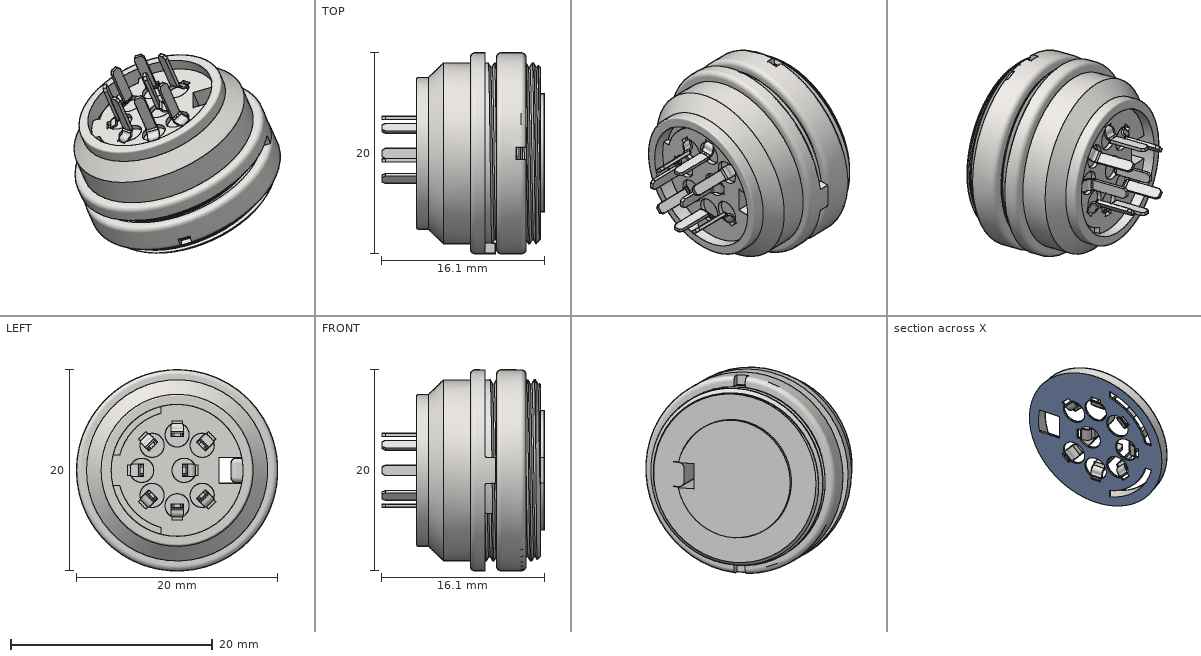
import cadquery as cq
import math


RIM_DIAMETER = 15.1
RIM_END = 1.2
RIM_ROUND = 0.2
BODY_DIAMETER = 18.0
CONE_END = 2.7
FLANGE_START = 5.35
FLANGE_END = 6.83
FLANGE_DIAMETER = 20.0
EDGE_ROUND = 0.5
HOUSING_END = 12.33
END_CHAMFER = 0.47
KEY_EMBED = 0.5

FLANGE_KEY_END = 7.85
FLANGE_KEY_WIDTH = 2.6
FLANGE_KEY_ROUND = 0.15

THREAD_PITCH = 0.75
THREAD_DEPTH = 0.4
THREAD_ROOT_WIDTH = 0.16
THREAD_FLANK_ANGLE = 30.0
THREAD_START = 7.13
THREAD_START_DROP = 4.3

NUT_START = 7.95
NUT_END = 10.9
NUT_SLOT_WIDTH = 1.2
NUT_SLOT_LENGTH = 1.0

BORE_DIAMETER = 13.1
INSERT_FACE = 1.12
INSERT_END = 12.7
INSERT_NOSE_DIAMETER = 11.9
RELIEF_INNER_DIAMETER = 11.8
RELIEF_DEPTH = 0.6
TONGUE_WIDTH = 3.0
RELIEF_EDGE_Y = 1.6

KEYWAY_INNER_Y = -4.17
KEYWAY_WIDTH = 2.54
BORE_KEY_TOP_Y = -5.35
BORE_KEY_WIDTH = 2.44
BORE_KEY_START = 5.0
BORE_KEY_ROUND = 0.5

CONTACT_CIRCLE_RADIUS = 3.52
CONTACT_ANGLES = (0, 45, 90, 135, 225, 270, 315)
KEYWAY_ANGLE = 180
CENTRE_CONTACT_OFFSET = 0.69
CAVITY_DIAMETER = 2.4
CAVITY_DEPTH = 0.45
CAVITY_SLOT_WIDTH = 1.03
CAVITY_SLOT_REACH = 1.4
PIN_TIP = -3.43
PIN_WIDTH = 1.06
PIN_THICKNESS = 0.34
PIN_TIP_LENGTH = 0.34
PIN_TIP_BEVEL = 0.22
TAB_WIDTH = 1.24
TAB_THICKNESS = 0.18
TAB_START = 0.5
TAB_JOG = 0.16
INNER_BEND_RADIUS = 0.31
OUTER_BEND_RADIUS = 0.48
LEG_ANCHOR = 0.3

BODY_RADIUS = BODY_DIAMETER / 2
FLANGE_RADIUS = FLANGE_DIAMETER / 2
BORE_RADIUS = BORE_DIAMETER / 2


def cylinder(start, end, diameter):
    return cq.Workplane("YZ", origin=(start, 0, 0)).circle(diameter / 2).extrude(end - start)


def block(x_range, y_range, width):
    """Box between two X and two Y values, centred on Z = 0."""
    x0, x1 = x_range
    y0, y1 = y_range
    return cq.Workplane("XY", origin=(x0, y0, -width / 2)).box(x1 - x0, y1 - y0, width, centered=False)


def make_housing():
    """Rear of the housing up to the flange, turned about X and still solid."""
    rim_radius = RIM_DIAMETER / 2
    outline = (
        cq.Workplane("XY")
        .moveTo(0, 0)
        .lineTo(0, rim_radius - RIM_ROUND)
        .radiusArc((RIM_ROUND, rim_radius), RIM_ROUND)
        .lineTo(RIM_END, rim_radius)
        .lineTo(CONE_END, BODY_RADIUS)
        .lineTo(FLANGE_START, BODY_RADIUS)
        .lineTo(FLANGE_START, FLANGE_RADIUS - EDGE_ROUND)
        .radiusArc((FLANGE_START + EDGE_ROUND, FLANGE_RADIUS), EDGE_ROUND)
        .lineTo(FLANGE_END, FLANGE_RADIUS)
        .lineTo(FLANGE_END, 0)
        .close()
    )
    return outline.revolve(360, (0, 0, 0), (1, 0, 0))


def make_thread_groove():
    """Helical trapezoid groove, made about Z and then turned onto X."""
    clearance = 0.2
    flank_slope = math.tan(math.radians(THREAD_FLANK_ANGLE))
    root_half = THREAD_ROOT_WIDTH / 2
    mouth_half = root_half + (THREAD_DEPTH + clearance) * flank_slope
    root_radius = BODY_RADIUS - THREAD_DEPTH
    mouth_radius = BODY_RADIUS + clearance
    length = HOUSING_END + THREAD_PITCH - THREAD_START
    helix = cq.Wire.makeHelix(THREAD_PITCH, length, root_radius)
    profile = cq.Workplane("XZ").polyline(
        [
            (root_radius, -root_half),
            (mouth_radius, -mouth_half),
            (mouth_radius, mouth_half),
            (root_radius, root_half),
        ]
    ).close()
    groove = profile.sweep(cq.Workplane(helix), isFrenet=True)
    lead_back = 90 - math.degrees(math.asin(THREAD_START_DROP / BODY_RADIUS))
    return (
        groove.rotate((0, 0, 0), (0, 1, 0), 90)
        .rotate((0, 0, 0), (1, 0, 0), -lead_back)
        .translate((THREAD_START, 0, 0))
    )


def make_threaded_front():
    """Threaded cylinder in front of the flange, with a chamfered end."""
    overrun = 1.0
    threaded = cylinder(FLANGE_END, HOUSING_END + overrun, BODY_DIAMETER).cut(make_thread_groove())
    envelope = cylinder(FLANGE_END, HOUSING_END, BODY_DIAMETER).faces(">X").chamfer(END_CHAMFER)
    return threaded.intersect(envelope)


def make_flange_key():
    """Key with small root rounds, kept between the thread crests and the flange outline."""
    half_width = FLANGE_KEY_WIDTH / 2
    flared = half_width + FLANGE_KEY_ROUND
    neck = FLANGE_END + FLANGE_KEY_ROUND
    key = (
        cq.Workplane("XZ")
        .moveTo(FLANGE_END - KEY_EMBED, -flared)
        .lineTo(FLANGE_END, -flared)
        .radiusArc((neck, -half_width), FLANGE_KEY_ROUND)
        .lineTo(FLANGE_KEY_END, -half_width)
        .lineTo(FLANGE_KEY_END, half_width)
        .lineTo(neck, half_width)
        .radiusArc((FLANGE_END, flared), FLANGE_KEY_ROUND)
        .lineTo(FLANGE_END - KEY_EMBED, flared)
        .close()
        .extrude(FLANGE_RADIUS)
    )
    ring = cylinder(FLANGE_START, NUT_START, FLANGE_DIAMETER).cut(
        cylinder(FLANGE_START, NUT_START, BODY_DIAMETER)
    )
    return key.intersect(ring)


def make_nut():
    """Ring nut with rounded edges and two spanner slots in its front face, at +Z and -Z."""
    nut = cylinder(NUT_START, NUT_END, FLANGE_DIAMETER).edges().fillet(EDGE_ROUND)
    nut = nut.cut(cylinder(NUT_START, NUT_END, BODY_DIAMETER))
    slots = cq.Workplane("XY").box(
        2 * NUT_SLOT_LENGTH, NUT_SLOT_WIDTH, 2 * FLANGE_DIAMETER
    ).translate((NUT_END, 0, 0))
    return nut.cut(slots)


def make_insert_relief():
    """Two arc-shaped recesses at the rim of the insert, on the +Y side."""
    floor = INSERT_FACE + RELIEF_DEPTH
    ring = cylinder(INSERT_FACE, floor, BORE_DIAMETER).cut(
        cylinder(INSERT_FACE, floor, RELIEF_INNER_DIAMETER)
    )
    side = block((INSERT_FACE, floor), (RELIEF_EDGE_Y, BORE_RADIUS), BORE_DIAMETER)
    tongue = block((INSERT_FACE, floor), (0, BORE_RADIUS), TONGUE_WIDTH)
    return ring.intersect(side).cut(tongue)


def make_keyway():
    """Passage along the insert, open to -Y where the nose leaves the housing."""
    inside = block((INSERT_FACE, HOUSING_END), (-BORE_RADIUS, KEYWAY_INNER_Y), KEYWAY_WIDTH)
    inside = inside.intersect(cylinder(INSERT_FACE, HOUSING_END, BORE_DIAMETER))
    nose = block((HOUSING_END, INSERT_END), (-BORE_RADIUS, KEYWAY_INNER_Y), KEYWAY_WIDTH)
    return inside.union(nose)


def make_bore_key():
    """Rounded polarising key standing on the bore wall inside the keyway."""
    root_y = -BORE_RADIUS - KEY_EMBED
    key = block((BORE_KEY_START, HOUSING_END), (root_y, BORE_KEY_TOP_Y), BORE_KEY_WIDTH)
    return key.edges("(>Y and (not >X)) or (<X and |Y)").fillet(BORE_KEY_ROUND)


def place_contact(shape, angle, radius):
    """Move a shape made at the axis, facing +Y, out to its place and turn it about X."""
    return shape.translate((0, radius, 0)).rotate((0, 0, 0), (1, 0, 0), angle)


def make_cavity():
    """Shallow round pocket with a slot on its outward side."""
    floor = INSERT_FACE + CAVITY_DEPTH
    slot = block((INSERT_FACE, floor), (0, CAVITY_SLOT_REACH), CAVITY_SLOT_WIDTH)
    return cylinder(INSERT_FACE, floor, CAVITY_DIAMETER).union(slot)


def make_contact():
    """Solder pin with a bevelled tip, and the bent tab that carries it."""
    half = PIN_THICKNESS / 2
    half_width = PIN_WIDTH / 2
    half_tip = half_width - PIN_TIP_BEVEL
    tip_base = PIN_TIP + PIN_TIP_LENGTH
    pin = cq.Workplane("XZ").polyline(
        [
            (PIN_TIP, -half_tip),
            (tip_base, -half_width),
            (TAB_START, -half_width),
            (TAB_START, half_width),
            (tip_base, half_width),
            (PIN_TIP, half_tip),
        ]
    ).close().extrude(half, both=True)
    jog_end = TAB_START + TAB_JOG
    rear = jog_end + INNER_BEND_RADIUS
    front = rear + TAB_THICKNESS
    leg_end = INSERT_FACE + CAVITY_DEPTH + LEG_ANCHOR
    jog_top = half + TAB_JOG
    bend_middle = jog_top + INNER_BEND_RADIUS
    leg_outer = bend_middle + OUTER_BEND_RADIUS
    leg_inner = leg_outer - TAB_THICKNESS
    leg_start = rear + OUTER_BEND_RADIUS
    inner_bend_outside = INNER_BEND_RADIUS + TAB_THICKNESS
    outer_bend_inside = OUTER_BEND_RADIUS - TAB_THICKNESS
    tab = (
        cq.Workplane("XY")
        .moveTo(TAB_START, -half)
        .lineTo(TAB_START, half)
        .lineTo(jog_end, jog_top)
        .radiusArc((rear, bend_middle), -INNER_BEND_RADIUS)
        .radiusArc((leg_start, leg_outer), OUTER_BEND_RADIUS)
        .lineTo(leg_end, leg_outer)
        .lineTo(leg_end, leg_inner)
        .lineTo(leg_start, leg_inner)
        .radiusArc((front, bend_middle), -outer_bend_inside)
        .radiusArc((jog_end, jog_top - TAB_THICKNESS), inner_bend_outside)
        .close()
        .extrude(TAB_WIDTH / 2, both=True)
    )
    return pin.union(tab)


def contact_places():
    """Angle and radius of every contact; the last one sits near the axis, facing -Y."""
    places = [(angle, CONTACT_CIRCLE_RADIUS) for angle in CONTACT_ANGLES]
    places.append((KEYWAY_ANGLE, CENTRE_CONTACT_OFFSET))
    return places


connector = make_housing().union(make_threaded_front())
connector = connector.union(make_flange_key()).union(make_nut())
connector = connector.cut(cylinder(0, INSERT_FACE, BORE_DIAMETER))
connector = connector.union(cylinder(HOUSING_END, INSERT_END, INSERT_NOSE_DIAMETER))
connector = connector.cut(make_insert_relief()).cut(make_keyway()).union(make_bore_key())

cavity = make_cavity()
contact = make_contact()
for contact_angle, contact_radius in contact_places():
    connector = connector.cut(place_contact(cavity, contact_angle, contact_radius))
    connector = connector.union(place_contact(contact, contact_angle, contact_radius))

result = connector